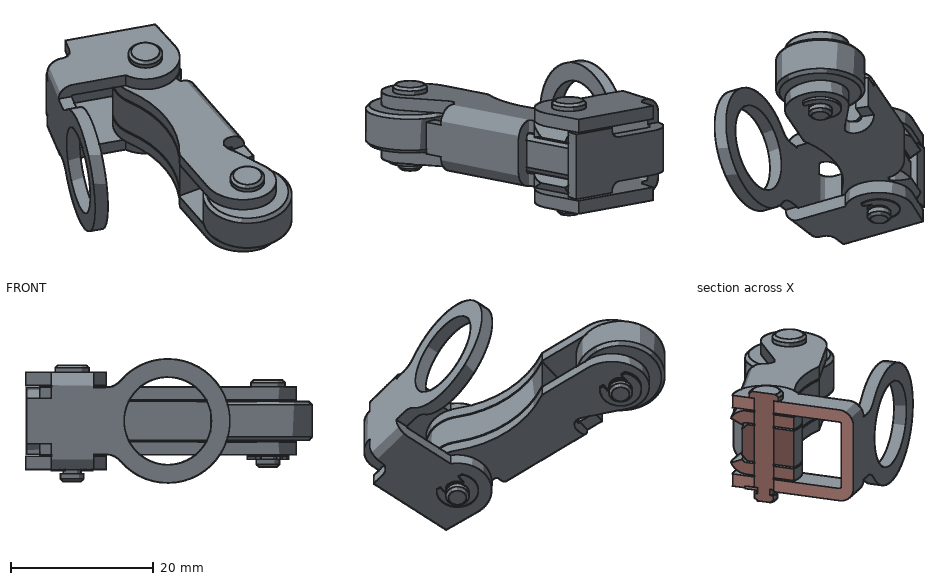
import cadquery as cq
import math


sheet = 1.9
bracket_half_width = 6.85
side_width = 9.6
side_corner_height = 16.8
base_bend_inner = 0.25
base_bend_outer = base_bend_inner + sheet
side_inner = bracket_half_width - sheet
base_half_width = bracket_half_width - base_bend_outer
wall_left = 0.12
wall_right = wall_left + sheet
wall_top = 17.1
wall_half_width = 4.7
wall_bend_inner = 1.6
wall_bend_outer = wall_bend_inner + sheet
wall_bend_end = wall_left + wall_bend_outer
strip_half_width = 3.2
wall_shoulder = 10.8
wall_shoulder_fillet = 1.3
side_foot = 3.65
side_foot_fillet = side_foot - base_bend_outer
ring_x = 20.0
ring_radius = 8.74
ring_hole_radius = 6.15
ring_fillet = 2.85

pivot_x = 6.53
pivot_y = 13.55
pivot_boss_radius = 4.83
arm_tilt = 13.9

arm_sheet = 1.83
arm_half_width = 4.78
arm_inner = arm_half_width - arm_sheet
web_top = 5.27
web_bottom = web_top - arm_sheet
arm_bend_inner = 0.65
arm_bend_outer = arm_bend_inner + arm_sheet
bend_center_v = web_top - arm_bend_outer
bend_center_z = arm_half_width - arm_bend_outer
web_start = 4.88
web_end = 18.95
tab_end = 21.57
roller_axis_u = 28.48
roller_axis_v = 0.37
lip_radius = 4.83
lip_center = (-0.2, 0.35)
lip_bend_angle = 66.0
notch_bottom = 2.8
notch_fillet = 0.4
relief_radius = 1.27
relief_v = 2.65
nose_radius = 4.03
chin_radius = 5.75
chin_u = 26.75
lower_edge = -5.12
lower_corner_u = 18.82
belly_u = 10.30
belly_v = -18.76
heel_radius = 5.29
heel_bottom = 8.74

block_half_width = 2.75
block_chamfer = 0.8

roller_radius = 6.25
roller_half_width = 2.75
roller_chamfer = 0.5
pin_radius = 1.65
pin_chamfer = 0.4
head_radius = 2.4
head_height = 1.0
groove_radius = 1.27
clip_radius = 2.94
clip_thickness = 0.4
clip_mouth_half_width = 1.6
clip_mouth_top = -0.6
clip_tip = -1.9
pivot_pin_bottom = -8.55
pivot_groove_bottom = -7.4
pivot_clip_bottom = -6.98
roller_pin_bottom = -6.5
roller_clip_bottom = -5.4

tilt = math.radians(arm_tilt)
reach = 100.0


def arm_point(u, v):
    """Place a point given along and across the arm."""
    x = pivot_x + u * math.cos(tilt) - v * math.sin(tilt)
    y = pivot_y + u * math.sin(tilt) + v * math.cos(tilt)
    return (x, y)


def polar(center, radius, angle):
    """Point on a circle, with the angle in radians."""
    return (center[0] + radius * math.cos(angle), center[1] + radius * math.sin(angle))


def direction(start, end):
    return math.atan2(end[1] - start[1], end[0] - start[0])


roller_axis = arm_point(roller_axis_u, roller_axis_v)
pivot_axis = (pivot_x, pivot_y)


def slab(half_width):
    return cq.Workplane("XY").workplane(offset=-half_width)


def cross_section_plane(u):
    """Plane across the arm: local x is v, local y is Z, and it extrudes along u."""
    x, y = arm_point(u, 0)
    return cq.Plane(
        origin=(x, y, 0),
        xDir=(-math.sin(tilt), math.cos(tilt), 0),
        normal=(math.cos(tilt), math.sin(tilt), 0),
    )


def bracket_base():
    fillet_offset = base_half_width + ring_fillet
    fillet_x = ring_x - math.sqrt((ring_radius + ring_fillet) ** 2 - fillet_offset**2)
    toward_ring = math.atan2(-fillet_offset, ring_x - fillet_x)
    fillet_end = polar((fillet_x, fillet_offset), ring_fillet, toward_ring)
    fillet_middle = polar((fillet_x, fillet_offset), ring_fillet, (toward_ring - math.pi / 2) / 2)
    neck = (
        cq.Workplane("XZ")
        .moveTo(wall_bend_end, -base_half_width)
        .lineTo(fillet_x, -base_half_width)
        .threePointArc((fillet_middle[0], -fillet_middle[1]), (fillet_end[0], -fillet_end[1]))
        .lineTo(*fillet_end)
        .threePointArc(fillet_middle, (fillet_x, base_half_width))
        .lineTo(wall_bend_end, base_half_width)
        .close()
        .extrude(-sheet)
    )
    ring = cq.Workplane("XZ").center(ring_x, 0).circle(ring_radius).extrude(-sheet)
    hole = cq.Workplane("XZ").center(ring_x, 0).circle(ring_hole_radius).extrude(-sheet)
    return neck.union(ring).cut(hole)


def bracket_side():
    """Side plate on the +Z side, with the bend that joins it to the base."""
    corner = (0, side_corner_height)
    corner_distance = math.dist(corner, pivot_axis)
    tangent_angle = direction(pivot_axis, corner) - math.acos(pivot_boss_radius / corner_distance)
    boss_end_angle = -math.acos((side_width - pivot_x) / pivot_boss_radius)
    foot_center = (wall_bend_end - side_foot_fillet, base_bend_outer)
    plate = (
        cq.Workplane("XY")
        .workplane(offset=side_inner)
        .moveTo(wall_bend_end, base_bend_outer)
        .lineTo(side_width, base_bend_outer)
        .lineTo(*polar(pivot_axis, pivot_boss_radius, boss_end_angle))
        .threePointArc(
            polar(pivot_axis, pivot_boss_radius, (boss_end_angle + tangent_angle) / 2),
            polar(pivot_axis, pivot_boss_radius, tangent_angle),
        )
        .lineTo(*corner)
        .lineTo(0, side_foot)
        .lineTo(foot_center[0], side_foot)
        .threePointArc(polar(foot_center, side_foot_fillet, math.pi / 4), (wall_bend_end, base_bend_outer))
        .close()
        .extrude(sheet)
    )
    bend = (
        cq.Workplane("YZ")
        .workplane(offset=wall_bend_end)
        .center(base_bend_outer, base_half_width)
        .circle(base_bend_outer)
        .circle(base_bend_inner)
        .extrude(side_width - wall_bend_end)
    )
    quarter = cq.Workplane("XY").box(side_width, base_bend_outer, base_bend_outer, centered=False)
    return plate.union(bend.intersect(quarter.translate((0, 0, base_half_width))))


def bracket_wall():
    """End wall: wide above, a narrow strip below that bends into the base."""
    shoulder = (wall_left + sheet / 2, wall_shoulder, strip_half_width)
    wide = (
        cq.Workplane("YZ")
        .workplane(offset=wall_left)
        .moveTo(wall_bend_outer, strip_half_width)
        .lineTo(wall_shoulder, strip_half_width)
        .lineTo(wall_shoulder, wall_half_width)
        .lineTo(wall_top, wall_half_width)
        .lineTo(wall_top, 0)
        .lineTo(wall_bend_outer, 0)
        .close()
        .extrude(sheet)
        .edges(cq.selectors.NearestToPointSelector(shoulder))
        .fillet(wall_shoulder_fillet)
    )
    bend = (
        slab(strip_half_width)
        .center(wall_bend_end, wall_bend_outer)
        .circle(wall_bend_outer)
        .circle(wall_bend_inner)
        .extrude(2 * strip_half_width)
    )
    quarter = (
        slab(strip_half_width)
        .rect(wall_bend_end, wall_bend_outer, centered=False)
        .extrude(2 * strip_half_width)
    )
    return wide.union(wide.mirror("XY")).union(bend.intersect(quarter))


heel_center = (wall_right + heel_radius, heel_bottom + heel_radius)
belly_center = arm_point(belly_u, belly_v)
belly_radius = math.dist(heel_center, belly_center) - heel_radius


def start_at_heel(plane, top_v):
    """Begin an outline at the end wall at height v, down round the heel and along the concave edge."""
    top_u = (wall_right - pivot_x + top_v * math.sin(tilt)) / math.cos(tilt)
    heel_end_angle = direction(heel_center, belly_center)
    corner = arm_point(lower_corner_u, lower_edge)
    belly_start_angle = heel_end_angle + math.pi
    belly_end_angle = direction(belly_center, corner)
    heel_middle_angle = (heel_end_angle - math.pi) / 2
    belly_middle_angle = (belly_start_angle + belly_end_angle) / 2
    return (
        plane.moveTo(*arm_point(top_u, top_v))
        .lineTo(wall_right, heel_center[1])
        .threePointArc(
            polar(heel_center, heel_radius, heel_middle_angle),
            polar(heel_center, heel_radius, heel_end_angle),
        )
        .threePointArc(polar(belly_center, belly_radius, belly_middle_angle), corner)
    )


def arm_outline():
    chin_center = arm_point(chin_u, lower_edge + chin_radius)
    chin_end_angle = direction(chin_center, roller_axis)
    chin_middle_angle = (tilt - math.pi / 2 + chin_end_angle) / 2

    relief_center = arm_point(web_end + relief_radius, relief_v)
    center_line = direction(relief_center, roller_axis)
    span = math.dist(relief_center, roller_axis)
    relief_end_angle = center_line - math.acos((nose_radius + relief_radius) / span)
    nose_end_angle = relief_end_angle + math.pi
    nose_middle_angle = (chin_end_angle + nose_end_angle) / 2
    relief_start_angle = tilt - math.pi
    relief_middle_angle = (relief_start_angle + relief_end_angle) / 2

    notch_center = (web_start - notch_fillet, notch_bottom + notch_fillet)
    notch_middle = polar(notch_center, notch_fillet, -math.pi / 4)
    lip_end_angle = math.asin((notch_bottom - lip_center[1]) / lip_radius)
    lip_top_angle = math.pi / 2
    lip_middle_angle = (lip_end_angle + lip_top_angle) / 2
    return (
        start_at_heel(slab(arm_half_width), lip_center[1] + lip_radius)
        .lineTo(*arm_point(chin_u, lower_edge))
        .threePointArc(
            polar(chin_center, chin_radius, chin_middle_angle),
            polar(chin_center, chin_radius, chin_end_angle),
        )
        .threePointArc(
            polar(roller_axis, nose_radius, nose_middle_angle),
            polar(roller_axis, nose_radius, nose_end_angle),
        )
        .lineTo(*polar(relief_center, relief_radius, relief_end_angle))
        .threePointArc(
            polar(relief_center, relief_radius, relief_middle_angle),
            polar(relief_center, relief_radius, relief_start_angle),
        )
        .lineTo(*arm_point(web_end, web_top))
        .lineTo(*arm_point(web_start, web_top))
        .lineTo(*arm_point(web_start, notch_center[1]))
        .threePointArc(arm_point(*notch_middle), arm_point(notch_center[0], notch_bottom))
        .lineTo(*arm_point(*polar(lip_center, lip_radius, lip_end_angle)))
        .threePointArc(
            arm_point(*polar(lip_center, lip_radius, lip_middle_angle)),
            arm_point(*polar(lip_center, lip_radius, lip_top_angle)),
        )
        .close()
        .extrude(2 * arm_half_width)
    )


def arm_channel():
    """U section with round bends, continued as two flat sides beyond the relief."""
    length = reach / 2
    web_limit = web_end + relief_radius

    def bar(top, half_width, bend):
        return (
            cq.Workplane(cross_section_plane(web_limit - length))
            .moveTo(-reach, -half_width)
            .lineTo(top - bend, -half_width)
            .radiusArc((top, bend - half_width), -bend)
            .lineTo(top, half_width - bend)
            .radiusArc((top - bend, half_width), -bend)
            .lineTo(-reach, half_width)
            .close()
            .extrude(length)
        )

    channel = bar(web_top, arm_half_width, arm_bend_outer).cut(bar(web_bottom, arm_inner, arm_bend_inner))
    flat_side = (
        cq.Workplane(cross_section_plane(web_limit))
        .center(0, arm_half_width - arm_sheet / 2)
        .rect(reach, arm_sheet)
        .extrude(length)
    )
    return channel.union(flat_side).union(flat_side.mirror("XY"))


def lip_gap():
    """Opening between the two lips, with sides square to the bent sheet."""
    height = 2 * arm_bend_outer
    spread = height / math.tan(math.radians(lip_bend_angle))
    return (
        cq.Workplane(cross_section_plane(web_start - reach))
        .moveTo(bend_center_v, -bend_center_z)
        .lineTo(bend_center_v + height, -bend_center_z - spread)
        .lineTo(bend_center_v + height, bend_center_z + spread)
        .lineTo(bend_center_v, bend_center_z)
        .close()
        .extrude(reach)
    )


def arm_tab():
    return (
        cq.Workplane(cross_section_plane(web_end))
        .moveTo(web_bottom, -bend_center_z)
        .lineTo(web_top, -bend_center_z)
        .lineTo(web_top, bend_center_z)
        .lineTo(web_bottom, bend_center_z)
        .close()
        .extrude(tab_end - web_end)
    )


def arm_block():
    return (
        start_at_heel(slab(block_half_width), web_bottom)
        .lineTo(*arm_point(lower_corner_u, web_bottom))
        .close()
        .extrude(2 * block_half_width)
        .edges(cq.selectors.ParallelDirSelector(cq.Vector(math.cos(tilt), math.sin(tilt), 0)))
        .chamfer(block_chamfer)
    )


def shaft(axis):
    """Cutter for a pin hole."""
    return slab(reach / 2).center(*axis).circle(pin_radius).extrude(reach)


def pin(axis, head_bottom, groove_top, groove_bottom, bottom):
    """Headed pin with a clip groove near its lower end."""
    top = head_bottom + head_height
    profile = (
        cq.Workplane("XZ")
        .moveTo(0, bottom)
        .lineTo(pin_radius - pin_chamfer, bottom)
        .lineTo(pin_radius, bottom + pin_chamfer)
        .lineTo(pin_radius, groove_bottom)
        .lineTo(groove_radius, groove_bottom)
        .lineTo(groove_radius, groove_top)
        .lineTo(pin_radius, groove_top)
        .lineTo(pin_radius, head_bottom)
        .lineTo(head_radius, head_bottom)
        .lineTo(head_radius, top - pin_chamfer)
        .lineTo(head_radius - pin_chamfer, top)
        .lineTo(0, top)
        .close()
    )
    return profile.revolve(360, (0, 0), (0, 1)).translate((*axis, 0))


def clip(axis, bottom):
    """Open retaining clip, its mouth square to the arm."""
    disc = cq.Workplane("XY").circle(clip_radius).circle(groove_radius).extrude(clip_thickness)
    mouth = (
        cq.Workplane("XY")
        .moveTo(-clip_mouth_half_width, clip_mouth_top)
        .lineTo(clip_mouth_half_width, clip_mouth_top)
        .lineTo(clip_mouth_half_width, clip_tip)
        .lineTo(clip_radius, clip_tip)
        .lineTo(clip_radius, -clip_radius)
        .lineTo(-clip_radius, -clip_radius)
        .lineTo(-clip_radius, clip_tip)
        .lineTo(-clip_mouth_half_width, clip_tip)
        .close()
        .extrude(clip_thickness)
    )
    return disc.cut(mouth).rotate((0, 0, 0), (0, 0, 1), arm_tilt).translate((*axis, bottom))


clip_places = [(pivot_axis, pivot_clip_bottom), (roller_axis, roller_clip_bottom)]
clips = [clip(axis, bottom) for axis, bottom in clip_places]
pivot_pin = pin(pivot_axis, bracket_half_width, pivot_clip_bottom + clip_thickness,
                pivot_groove_bottom, pivot_pin_bottom)
roller_pin = pin(roller_axis, arm_half_width, roller_clip_bottom + clip_thickness,
                 roller_clip_bottom, roller_pin_bottom)

side = bracket_side()
bracket = bracket_base().union(bracket_wall()).union(side).union(side.mirror("XY"))
bracket = bracket.cut(shaft(pivot_axis)).cut(clips[0])

arm = arm_channel().intersect(arm_outline()).cut(lip_gap()).union(arm_tab())
arm = arm.cut(shaft(pivot_axis)).cut(shaft(roller_axis))

block = arm_block().cut(shaft(pivot_axis))

roller = (
    slab(roller_half_width)
    .center(*roller_axis)
    .circle(roller_radius)
    .extrude(2 * roller_half_width)
    .edges()
    .chamfer(roller_chamfer)
    .cut(shaft(roller_axis))
)

result = cq.Compound.makeCompound(
    [bracket.val(), arm.val(), block.val(), roller.val(), pivot_pin.val(), roller_pin.val()]
    + [one.val() for one in clips]
)